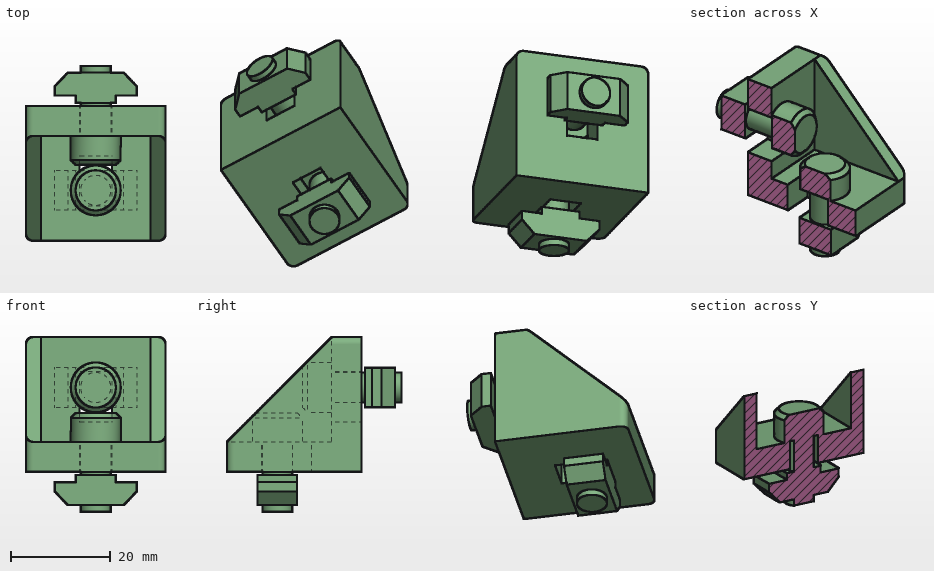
import cadquery as cq

width = 28.0
leg_length = 27.0
leg_thickness = 6.0
side_wall = 3.0
corner_radius = 1.5

slot_width = 6.48
slot_start = 10.0
slot_end = 20.02

bolt_distance = 16.87
head_diameter = 10.0
head_height = 5.8
head_chamfer = 0.98
shank_diameter = 6.02
shank_projection = 35.0 - leg_length

nut_gap = 0.63
nut_length = 7.95
neck_width = 8.0
neck_height = 1.45
nut_width = 16.45
nut_straight = 1.85
nut_height = 6.05
nut_base_width = 11.2


def make_bracket():
    """Two legs joined by sloping side walls, with rounded free corners."""
    body = (
        cq.Workplane("YZ")
        .polyline([
            (0, 0),
            (-leg_length, 0),
            (-leg_length, leg_thickness),
            (-leg_thickness, leg_length),
            (0, leg_length),
        ])
        .close()
        .extrude(width / 2, both=True)
    )
    body = body.faces("<Y").edges("|Z").fillet(corner_radius)
    body = body.faces(">Z").edges("|Y").fillet(corner_radius)
    pocket = (
        cq.Workplane("XY")
        .box(width - 2 * side_wall, leg_length, leg_length, centered=(True, False, False))
        .translate((0, -leg_thickness - leg_length, leg_thickness))
    )
    return body.cut(pocket)


def make_floor_slot():
    """Rectangular opening through the floor leg."""
    return (
        cq.Workplane("XY")
        .center(0, -(slot_start + slot_end) / 2)
        .rect(slot_width, slot_end - slot_start)
        .extrude(leg_thickness)
    )


def make_floor_bolt():
    """Chamfered round head resting on the floor leg, with its shank below."""
    head = (
        cq.Workplane("XY", origin=(0, -bolt_distance, leg_thickness))
        .circle(head_diameter / 2)
        .extrude(head_height)
        .faces(">Z")
        .chamfer(head_chamfer)
    )
    shank = (
        cq.Workplane("XY", origin=(0, -bolt_distance, -shank_projection))
        .circle(shank_diameter / 2)
        .extrude(shank_projection + leg_thickness)
    )
    return head.union(shank)


def make_floor_nut():
    """T-nut with a narrow neck and tapered lower corners."""
    neck_top = -nut_gap
    shoulder = neck_top - neck_height
    taper_top = shoulder - nut_straight
    base = neck_top - nut_height
    return (
        cq.Workplane("XZ", origin=(0, -bolt_distance, 0))
        .moveTo(0, neck_top)
        .lineTo(neck_width / 2, neck_top)
        .lineTo(neck_width / 2, shoulder)
        .lineTo(nut_width / 2, shoulder)
        .lineTo(nut_width / 2, taper_top)
        .lineTo(nut_base_width / 2, base)
        .lineTo(0, base)
        .mirrorY()
        .extrude(nut_length / 2, both=True)
    )


def on_upright_leg(shape):
    """Swap height and depth, moving a floor-leg feature to the upright leg."""
    return shape.rotate((0, 0, 0), (0, -1, 1), 180)


slot = make_floor_slot()
fastener = make_floor_bolt().union(make_floor_nut())

result = make_bracket().cut(slot).cut(on_upright_leg(slot))
result = result.union(fastener).union(on_upright_leg(fastener))